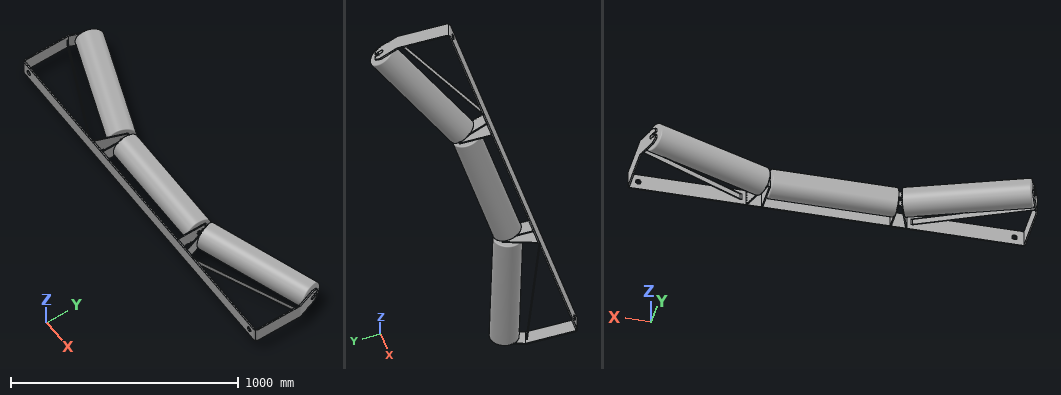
import cadquery as cq
import math

frame_length = 1800.0
bar_height = 80.0
bar_thickness = 7.0
corner_radius = 16.0
arm_bend_y = 243.0
arm_end_y = 362.0
arm_tip_chamfer_length = 27.0
arm_tip_chamfer_depth = 15.0
mount_hole_diameter = 23.0
mount_hole_inset = 49.0

trough_angle = 20.0
roller_diameter = 133.0
roller_length = 572.0
roller_edge_radius = 5.0
centre_roller_y = 126.0
side_roller_x = 589.0
side_roller_y = 232.0
shaft_width = 18.0
shaft_drop = 5.0
shaft_top = 10.0
shaft_stub = 10.0

bracket_thickness = 5.0
bracket_gap = 2.0
bracket_top_y = 157.0

brace_thickness = 4.0
brace_height = 30.0
brace_top_y = 238.0
brace_foot_x = 382.0

frame_half = frame_length / 2
tilt_sin = math.sin(math.radians(trough_angle))
tilt_cos = math.cos(math.radians(trough_angle))
tilt_tan = tilt_sin / tilt_cos
roller_radius = roller_diameter / 2
shaft_radius = shaft_width / 2
shaft_end = roller_length / 2 + shaft_stub
bracket_right_x = -roller_length / 2 - bracket_gap
face_offset = roller_length / 2 + bracket_gap
face_x = -side_roller_x + face_offset * tilt_cos
face_y = side_roller_y - face_offset * tilt_sin
bracket_left_x = face_x + (bracket_top_y - face_y) * tilt_tan
arm_tip_x = frame_half - (arm_end_y - arm_bend_y) * tilt_tan


def band(points, thickness):
    """Outline of a bar lying to the left of a run of points, with mitred corners."""
    headings = []
    for start, end in zip(points, points[1:]):
        headings.append(math.atan2(end[1] - start[1], end[0] - start[0]))
    inner = []
    for i, (x, y) in enumerate(points):
        before = headings[max(i - 1, 0)]
        after = headings[min(i, len(headings) - 1)]
        normal = (before + after) / 2 + math.pi / 2
        reach = thickness / math.cos((after - before) / 2)
        inner.append((x + reach * math.cos(normal), y + reach * math.sin(normal)))
    return points + inner[::-1]


def upright_bar(outline, height):
    """Solid bar of the given height, centred on Z = 0."""
    return cq.Workplane("XY").polyline(outline).close().extrude(height / 2, both=True)


def mirrored(body):
    """Copy of a left-hand body on the right-hand side."""
    return body.mirror("YZ")


def on_left_axis(body):
    """Move a body built along the X axis onto the left roller's axis."""
    return body.rotate((0, 0, 0), (0, 0, 1), -trough_angle).translate((-side_roller_x, side_roller_y, 0))


def on_centre_axis(body):
    """Move a body built along the X axis onto the centre roller's axis."""
    return body.translate((0, centre_roller_y, 0))


def make_shaft(top):
    """Bar along X with a round bottom, straight sides and a flat top at the given Y."""
    return (
        cq.Workplane("YZ", origin=(-shaft_end, 0, 0))
        .moveTo(-shaft_drop, -shaft_radius)
        .lineTo(top, -shaft_radius)
        .lineTo(top, shaft_radius)
        .lineTo(-shaft_drop, shaft_radius)
        .threePointArc((-shaft_drop - shaft_radius, 0), (-shaft_drop, -shaft_radius))
        .close()
        .extrude(2 * shaft_end)
    )


def make_roller():
    """Barrel with rounded end edges on a shaft, centred on the X axis."""
    barrel = (
        cq.Workplane("YZ", origin=(-roller_length / 2, 0, 0))
        .circle(roller_radius)
        .extrude(roller_length)
        .edges()
        .fillet(roller_edge_radius)
    )
    return barrel.union(make_shaft(shaft_top))


slot_cutter = make_shaft(roller_radius)
left_slots = on_left_axis(slot_cutter)
centre_slots = on_centre_axis(slot_cutter)


def left_arm_tip_cuts():
    """Triangular wedges that chamfer the upper and lower corners of the left arm's tip."""
    edge = bar_height / 2
    wedges = cq.Workplane("YZ")
    for side in (1, -1):
        wedges = (
            wedges
            .moveTo(-arm_tip_chamfer_length, side * edge)
            .lineTo(arm_tip_chamfer_length, side * (edge - 2 * arm_tip_chamfer_depth))
            .lineTo(arm_tip_chamfer_length, side * edge)
            .close()
        )
    return (
        wedges
        .extrude(2 * bar_thickness, both=True)
        .rotate((0, 0, 0), (0, 0, 1), -trough_angle)
        .translate((-arm_tip_x, arm_end_y, 0))
    )


def make_frame():
    """Bent bar with mounting holes, chamfered arm tips and open slots for the outer shafts."""
    bar = upright_bar(band([
        (-arm_tip_x, arm_end_y),
        (-frame_half, arm_bend_y),
        (-frame_half, 0),
        (frame_half, 0),
        (frame_half, arm_bend_y),
        (arm_tip_x, arm_end_y),
    ], bar_thickness), bar_height)
    bar = bar.edges("|Z and <Y").fillet(corner_radius)
    bar = bar.edges("|Z and (<X or >X)").fillet(corner_radius)
    holes = (
        cq.Workplane("XZ")
        .pushPoints([(side * (frame_half - mount_hole_inset), 0) for side in (-1, 1)])
        .circle(mount_hole_diameter / 2)
        .extrude(-bar_thickness)
    )
    tip_cuts = left_arm_tip_cuts()
    for cutter in (holes, tip_cuts, mirrored(tip_cuts), left_slots, mirrored(left_slots)):
        bar = bar.cut(cutter)
    return bar


def make_left_bracket():
    """Folded bar standing on the frame, slotted for the left and centre shafts."""
    rise = bracket_top_y - bar_thickness
    lean_top_x = bracket_left_x
    lean_foot_x = lean_top_x - rise * tilt_tan
    lean_wall = bracket_thickness / tilt_cos
    outline = [
        (lean_foot_x, bar_thickness),
        (lean_top_x, bracket_top_y),
        (bracket_right_x, bracket_top_y),
        (bracket_right_x, bar_thickness),
        (bracket_right_x - bracket_thickness, bar_thickness),
        (bracket_right_x - bracket_thickness, bracket_top_y - bracket_thickness),
        (lean_top_x + lean_wall - bracket_thickness * tilt_tan, bracket_top_y - bracket_thickness),
        (lean_foot_x + lean_wall, bar_thickness),
    ]
    return upright_bar(outline, bar_height).cut(left_slots).cut(centre_slots)


def make_left_brace():
    """Flat bar from the inside of the left arm down to the base of the frame."""
    wall_x = -frame_half + bar_thickness
    run = -brace_foot_x - wall_x
    slope = math.atan2(brace_top_y - bar_thickness, run)
    outline = [
        (wall_x, brace_top_y),
        (-brace_foot_x, bar_thickness),
        (-brace_foot_x - brace_thickness / math.sin(slope), bar_thickness),
        (wall_x, brace_top_y - brace_thickness / math.cos(slope)),
    ]
    return upright_bar(outline, brace_height)


frame = make_frame()
roller = make_roller()
left_roller = on_left_axis(roller)
centre_roller = on_centre_axis(roller)
left_bracket = make_left_bracket()
left_brace = make_left_brace()

bodies = [frame.val(), centre_roller.val()]
for left_body in (left_roller, left_bracket, left_brace):
    bodies.append(left_body.val())
    bodies.append(mirrored(left_body).val())

result = cq.Compound.makeCompound(bodies)